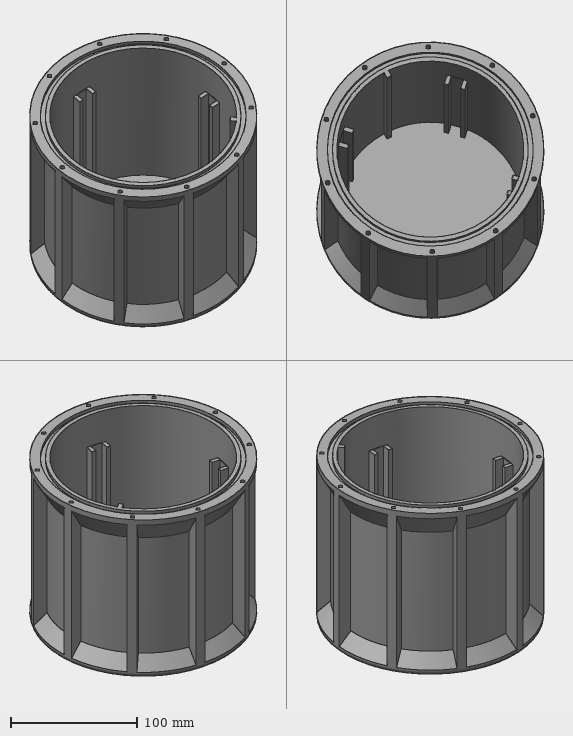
import cadquery as cq
import math

OUTER_RADIUS = 90.0
HEIGHT = 150.0
BORE_RADIUS = 74.0
FLOOR_THICKNESS = 5.0
BOTTOM_FILLET = 3.0

WAIST_RADIUS = 79.0
FLANGE_THICKNESS = 5.0
LOWER_SLOPE_ANGLE = 45.0
UPPER_SLOPE_ANGLE = 60.0

RIB_COUNT = 10
RIB_WIDTH = 8.0
RIB_OVERRUN = 5.0
HOLE_DIAMETER = 3.5
HOLE_CIRCLE_RADIUS = 86.0
HOLE_DEPTH = 10.0

GROOVE_INNER_DIAMETER = 155.0
GROOVE_OUTER_DIAMETER = 163.0
GROOVE_DEPTH = 3.0

GUIDE_COUNT = 4
GUIDE_GAP = 10.0
RAIL_WIDTH = 3.5
RAIL_INNER_RADIUS = 66.0
GUIDE_TOP = 120.0

KEY_ANGLE = 45.0
KEY_WIDTH = 4.0
KEY_INNER_RADIUS = 69.0

WALL_MID_RADIUS = (BORE_RADIUS + WAIST_RADIUS) / 2

RIB_ANGLES = [90 + i * 360 / RIB_COUNT for i in range(RIB_COUNT)]


def cylinder(radius, bottom, top):
    return cq.Workplane("XY").workplane(offset=bottom).circle(radius).extrude(top - bottom)


def radial_block(inner, outer, width, bottom, top, offset=0.0):
    """Upright block running along +X from inner to outer, shifted along Y by offset."""
    block = cq.Workplane("XY").box(outer - inner, width, top - bottom, centered=(False, True, False))
    return block.translate((inner, offset, bottom))


def rotated(shape, angle):
    return shape.rotate((0, 0, 0), (0, 0, 1), angle)


def make_envelope():
    return cylinder(OUTER_RADIUS, 0, HEIGHT).faces("<Z").edges().fillet(BOTTOM_FILLET)


def make_waist_cutter():
    """Ring removed between the flanges, with a cone at each end."""
    recess = OUTER_RADIUS - WAIST_RADIUS
    lower_edge = FLANGE_THICKNESS
    upper_edge = HEIGHT - FLANGE_THICKNESS
    lower_foot = lower_edge + recess * math.tan(math.radians(LOWER_SLOPE_ANGLE))
    upper_foot = upper_edge - recess * math.tan(math.radians(UPPER_SLOPE_ANGLE))
    profile = [
        (OUTER_RADIUS, lower_edge),
        (WAIST_RADIUS, lower_foot),
        (WAIST_RADIUS, upper_foot),
        (OUTER_RADIUS, upper_edge),
    ]
    return cq.Workplane("XZ").polyline(profile).close().revolve(360, (0, 0, 0), (0, 1, 0))


def make_pockets():
    """Waist ring split by the outer ribs into separate pockets."""
    pockets = make_waist_cutter()
    for angle in RIB_ANGLES:
        rib = radial_block(WALL_MID_RADIUS, OUTER_RADIUS + RIB_OVERRUN, RIB_WIDTH, 0, HEIGHT)
        pockets = pockets.cut(rotated(rib, angle))
    return pockets


def make_groove():
    groove = cylinder(GROOVE_OUTER_DIAMETER / 2, HEIGHT - GROOVE_DEPTH, HEIGHT)
    return groove.cut(cylinder(GROOVE_INNER_DIAMETER / 2, HEIGHT - GROOVE_DEPTH, HEIGHT))


def make_screw_holes():
    hole = cylinder(HOLE_DIAMETER / 2, HEIGHT - HOLE_DEPTH, HEIGHT)
    hole = hole.translate((HOLE_CIRCLE_RADIUS, 0, 0))
    holes = cq.Workplane("XY")
    for angle in RIB_ANGLES:
        holes = holes.add(rotated(hole, angle))
    return holes.combine()


def make_guide():
    """Flat pad on the bore wall carrying two parallel rails."""
    pad_width = GUIDE_GAP + 2 * RAIL_WIDTH
    pad_face = math.sqrt(BORE_RADIUS**2 - (pad_width / 2) ** 2)
    guide = radial_block(pad_face, WALL_MID_RADIUS, pad_width, FLOOR_THICKNESS, GUIDE_TOP)
    rail_offset = (GUIDE_GAP + RAIL_WIDTH) / 2
    for side in (-1, 1):
        rail = radial_block(
            RAIL_INNER_RADIUS, WALL_MID_RADIUS, RAIL_WIDTH, FLOOR_THICKNESS, GUIDE_TOP, side * rail_offset
        )
        guide = guide.union(rail)
    return guide


def make_key():
    key = radial_block(KEY_INNER_RADIUS, WALL_MID_RADIUS, KEY_WIDTH, FLOOR_THICKNESS, HEIGHT)
    return rotated(key, KEY_ANGLE)


result = make_envelope().cut(make_pockets())
result = result.cut(cylinder(BORE_RADIUS, FLOOR_THICKNESS, HEIGHT))
for index in range(GUIDE_COUNT):
    result = result.union(rotated(make_guide(), index * 360 / GUIDE_COUNT))
result = result.union(make_key())
result = result.cut(make_groove()).cut(make_screw_holes())